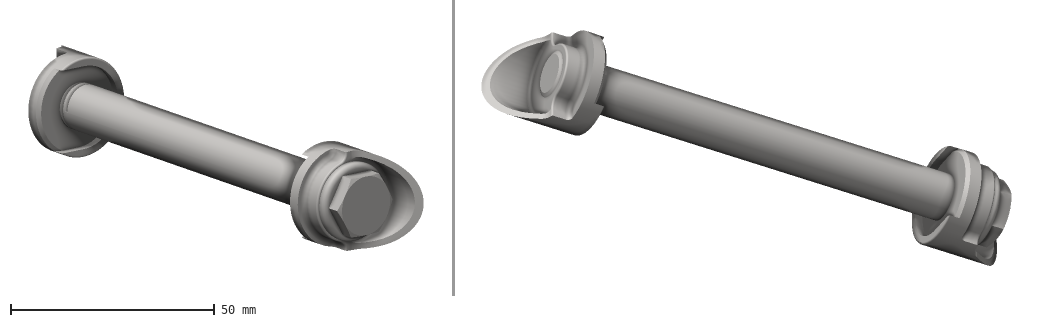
import cadquery as cq
import math


tip_x = 71.995
inner_x = 48.0
recess_depth = 2.1
recess_floor_x = inner_x + recess_depth
flange_x = 54.1
hub_end_x = 59.2

cap_radius = 12.7
hood_wall = 1.5
recess_radius = 10.6
bore_radius = 6.0

inner_edge_fillet = 0.5
recess_rim_chamfer = 0.9
hub_base_fillet = 1.2
hub_end_fillet = 0.5
hood_floor_fillet = 0.8

bevel_end_x = 66.1
bevel_end_y = 7.2
scoop_start_x = 61.3
scoop_start_y = 3.2
scoop_mid_x = 59.75
scoop_mid_y = 1.7

left_hub_radius = 8.0
left_shoulder_y = -0.2
left_blend_radius = 3.0
right_hub_radius = 10.6
right_shoulder_y = -1.6
right_blend_radius = 2.5

rod_end_x = -59.7
rod_tip_chamfer = 1.0
rod_tip_chamfer_length = 0.5
thread_pitch = 1.75
thread_depth = 0.9
thread_groove_width = 1.1
thread_start_x = -51.85
thread_turns = 2.5
thread_overcut = 0.1
thread_start_angle = 90
collar_radius = 10.0
collar_end_x = 61.4
collar_fillet = 1.3
hex_across_flats = 15.0
hex_end_x = 65.2
hex_chamfer = 0.5


def cylinder(start_x, end_x, radius):
    """Cylinder on the rod axis between two X stations."""
    return cq.Workplane("YZ", origin=(start_x, 0, 0)).circle(radius).extrude(end_x - start_x)


def recess():
    """U-shaped pocket in the inner face, open towards -Y."""
    round_end = cylinder(inner_x, recess_floor_x, recess_radius)
    mouth = cq.Workplane("XY").box(
        recess_depth, cap_radius, 2 * recess_radius, centered=(False, False, True)
    ).translate((inner_x, -cap_radius, 0))
    return round_end.union(mouth)


def hood_trim(foot_y):
    """Everything outside the bevelled and scooped edge of the hood, which ends at foot_y."""
    return (
        cq.Workplane("XY")
        .moveTo(tip_x, cap_radius)
        .lineTo(bevel_end_x, bevel_end_y)
        .lineTo(scoop_start_x, scoop_start_y)
        .threePointArc((scoop_mid_x, scoop_mid_y), (hub_end_x, foot_y))
        .lineTo(hub_end_x, -2 * cap_radius)
        .lineTo(2 * tip_x, -2 * cap_radius)
        .lineTo(2 * tip_x, cap_radius)
        .close()
        .extrude(2 * cap_radius, both=True)
    )


def hub_surround(hub_radius, shoulder_y, blend_radius):
    """Material cut away around the hub, with an arc blending each shoulder into the hub."""
    centre_y = shoulder_y - blend_radius
    centre_z = math.sqrt((hub_radius + blend_radius) ** 2 - centre_y ** 2)
    contact = hub_radius / (hub_radius + blend_radius)
    contact_y = centre_y * contact
    contact_z = centre_z * contact
    arc_angle = -math.atan2(centre_z, -centre_y) / 2
    mid_y = centre_y + blend_radius * math.cos(arc_angle)
    mid_z = centre_z + blend_radius * math.sin(arc_angle)
    outside = 2 * cap_radius
    return (
        cq.Workplane("YZ", origin=(flange_x, 0, 0))
        .moveTo(shoulder_y, outside)
        .lineTo(shoulder_y, centre_z)
        .threePointArc((mid_y, mid_z), (contact_y, contact_z))
        .threePointArc((-hub_radius, 0), (contact_y, -contact_z))
        .threePointArc((mid_y, -mid_z), (shoulder_y, -centre_z))
        .lineTo(shoulder_y, -outside)
        .lineTo(-outside, -outside)
        .lineTo(-outside, outside)
        .close()
        .extrude(tip_x - flange_x)
    )


def hub_outline_at(station_x, shoulder_y):
    """Selects the outline of the hub and its shoulders in the plane at station_x."""
    margin = 0.1
    return cq.selectors.BoxSelector(
        (station_x - margin, -cap_radius + margin, -2 * cap_radius + margin),
        (station_x + margin, shoulder_y + margin, 2 * cap_radius - margin),
    )


def make_cap(hub_radius, shoulder_y, blend_radius):
    """Cap with a shell hood on the +Y side and an exposed hub on the -Y side."""
    surround = hub_surround(hub_radius, shoulder_y, blend_radius)
    surround = surround.faces("<X").edges(hub_outline_at(flange_x, shoulder_y)).fillet(hub_base_fillet)
    base = cylinder(inner_x, hub_end_x, cap_radius)
    base = base.faces("<X").edges().fillet(inner_edge_fillet)
    base = base.cut(surround)
    base = base.faces(">X").edges(hub_outline_at(hub_end_x, shoulder_y)).fillet(hub_end_fillet)
    base = base.cut(recess())
    rim_point = (recess_floor_x, -cap_radius, 0)
    base = base.edges(cq.selectors.NearestToPointSelector(rim_point)).chamfer(recess_rim_chamfer)

    hood_bore = cylinder(hub_end_x, tip_x, cap_radius - hood_wall)
    hood_bore = hood_bore.faces("<X").edges().fillet(hood_floor_fillet)
    hood = cylinder(hub_end_x, tip_x, cap_radius).cut(hood_bore)
    hood = hood.cut(hood_trim(shoulder_y + hub_end_fillet))
    return base.union(hood).cut(cylinder(inner_x, hub_end_x, bore_radius))


def thread_groove():
    """Right-hand V groove around the rod where it enters the left cap, ending on the -Y side."""
    helix = cq.Wire.makeHelix(thread_pitch, thread_pitch * thread_turns, bore_radius)
    mouth_radius = bore_radius + thread_overcut
    groove = (
        cq.Workplane("XZ")
        .moveTo(bore_radius - thread_depth, 0)
        .lineTo(mouth_radius, thread_groove_width / 2)
        .lineTo(mouth_radius, -thread_groove_width / 2)
        .close()
        .sweep(cq.Workplane(helix), isFrenet=True)
    )
    return groove.rotate((0, 0, 0), (0, 0, 1), thread_start_angle).rotate(
        (0, 0, 0), (0, 1, 0), 90
    ).translate((thread_start_x, 0, 0))


def make_bolt():
    """Rod with a chamfered tip, a rounded collar and a hexagonal head."""
    rod = cylinder(rod_end_x, hub_end_x, bore_radius)
    rod = rod.faces("<X").chamfer(rod_tip_chamfer_length, rod_tip_chamfer)
    collar = cylinder(hub_end_x, collar_end_x, collar_radius)
    collar = collar.faces(">X").edges().fillet(collar_fillet)
    hex_corner_diameter = hex_across_flats / math.cos(math.pi / 6)
    head = (
        cq.Workplane("YZ", origin=(collar_end_x, 0, 0))
        .polygon(6, hex_corner_diameter)
        .extrude(hex_end_x - collar_end_x)
    )
    corner_turning = cylinder(collar_end_x, hex_end_x, hex_corner_diameter / 2)
    corner_turning = corner_turning.faces(">X").chamfer(
        hex_chamfer, (hex_corner_diameter - hex_across_flats) / 2
    )
    head = head.intersect(corner_turning)
    return rod.cut(thread_groove()).union(collar).union(head)


bolt = make_bolt()
right_cap = make_cap(right_hub_radius, right_shoulder_y, right_blend_radius)
left_cap = make_cap(left_hub_radius, left_shoulder_y, left_blend_radius).mirror("YZ")

result = cq.Compound.makeCompound([
    left_cap.solids().val(),
    right_cap.solids().val(),
    bolt.solids().val(),
])